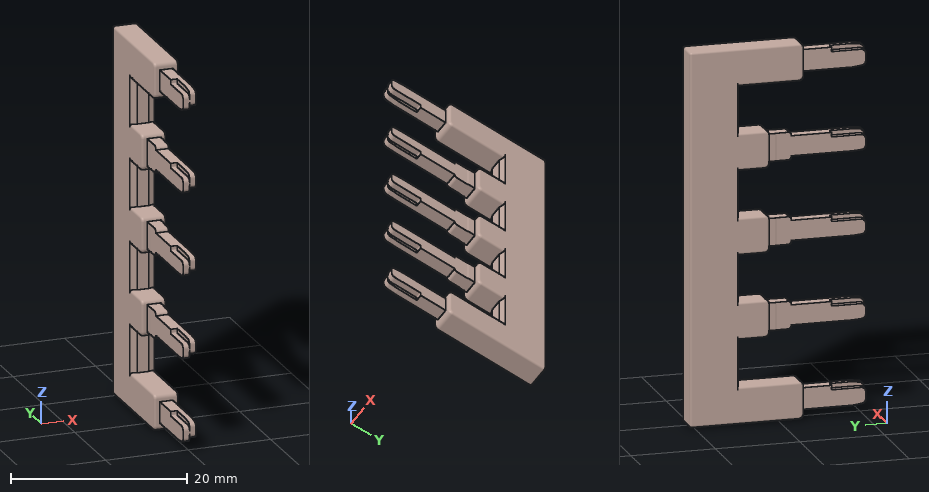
import cadquery as cq


height = 44.5
thickness = 3.0
total_depth = 21.05

arm_count = 5
arm_pitch = 10.0
arm_height = height - (arm_count - 1) * arm_pitch
end_arm_depth = 13.55
middle_arm_depth = 9.5
arm_tip_radius = 0.6

spine_depth = 5.95
edge_radius = 0.3
spine_bevel_width = 0.8
spine_bevel_inset = 0.25

pin_width = 1.55
end_pin_height = 2.6
middle_pin_height = 2.4
tip_radius = 0.55
pin_tip_height = 2.2
tip_taper_length = 1.5
notch_start = 17.0
notch_depth = 0.55
notch_corner_radius = 0.15
pin_embedding = 0.9

shoulder_height = 3.3
shoulder_end = 12.25
shoulder_radius = 0.4
neck_end = 10.3
neck_bevel_end = 10.55
neck_swell = 0.05

arm_centres = [(i - (arm_count - 1) / 2) * arm_pitch for i in range(arm_count)]


def make_spine():
    """Back bar, rounded outside and bevelled along its whole inner face."""
    spine = (
        cq.Workplane("XY")
        .box(thickness, spine_depth, height)
        .translate((0, -spine_depth / 2, 0))
        .faces("not <Y")
        .edges(">Y or |Y")
        .fillet(edge_radius)
    )
    face = thickness / 2
    bevel = (
        cq.Workplane("XY", origin=(0, 0, -height / 2))
        .moveTo(face - spine_bevel_width, -spine_depth)
        .lineTo(face, -spine_depth)
        .lineTo(face, -spine_depth + spine_bevel_inset)
        .close()
        .extrude(height)
    )
    return spine.cut(bevel).cut(bevel.mirror("YZ"))


def make_arm(depth):
    """Rounded arm centred on Z = 0, rooted halfway into the spine."""
    root = spine_depth / 2
    return (
        cq.Workplane("XY")
        .box(thickness, depth - root, arm_height)
        .translate((0, -(depth + root) / 2, 0))
        .faces("<Y")
        .edges("|X")
        .fillet(arm_tip_radius)
        .faces("|X")
        .edges("not >Y")
        .fillet(edge_radius)
    )


def make_half_blade(root, blade_height):
    """The -X half of a pin, notched along its upper edge and centred on Z = 0."""
    half = blade_height / 2
    notch_floor = half - notch_depth
    blade = (
        cq.Workplane("YZ", origin=(-pin_width / 2, 0, 0))
        .moveTo(-root, -half)
        .lineTo(-total_depth + tip_taper_length, -half)
        .lineTo(-total_depth, -pin_tip_height / 2)
        .lineTo(-total_depth, notch_floor)
        .lineTo(-notch_start, notch_floor)
        .lineTo(-notch_start, half)
        .lineTo(-root, half)
        .close()
        .extrude(pin_width / 2)
    )
    blade = blade.faces("<Y").edges("|X").fillet(tip_radius)
    notch_corner = cq.selectors.NearestToPointSelector((-pin_width / 4, -notch_start, notch_floor))
    return blade.edges(notch_corner).fillet(notch_corner_radius)


def make_blade(root, blade_height):
    """Two half blades; the +X half is the -X half turned half a turn about the pin axis."""
    half_blade = make_half_blade(root, blade_height)
    return half_blade.union(half_blade.rotate((0, 0, 0), (0, 1, 0), 180))


def make_shoulder(root):
    """Taller block behind the blade, with a slightly thicker neck next to the arm."""
    outer = pin_width / 2
    neck = outer + neck_swell
    shoulder = (
        cq.Workplane("XY", origin=(0, 0, -shoulder_height / 2))
        .moveTo(-neck, -root)
        .lineTo(-neck, -neck_end)
        .lineTo(-outer, -neck_bevel_end)
        .lineTo(-outer, -shoulder_end)
        .lineTo(outer, -shoulder_end)
        .lineTo(outer, -neck_bevel_end)
        .lineTo(neck, -neck_end)
        .lineTo(neck, -root)
        .close()
        .extrude(shoulder_height)
    )
    return shoulder.faces("<Y").edges("|X").fillet(shoulder_radius)


def make_end_arm():
    pin = make_blade(end_arm_depth - pin_embedding, end_pin_height)
    return make_arm(end_arm_depth).union(pin)


def make_middle_arm():
    blade = make_blade(neck_bevel_end, middle_pin_height)
    shoulder = make_shoulder(middle_arm_depth - pin_embedding)
    return make_arm(middle_arm_depth).union(shoulder).union(blade)


end_arm = make_end_arm()
middle_arm = make_middle_arm()
result = make_spine()
for index, centre in enumerate(arm_centres):
    is_end = index in (0, arm_count - 1)
    arm = end_arm if is_end else middle_arm
    result = result.union(arm.translate((0, 0, centre)))
result = result.clean()